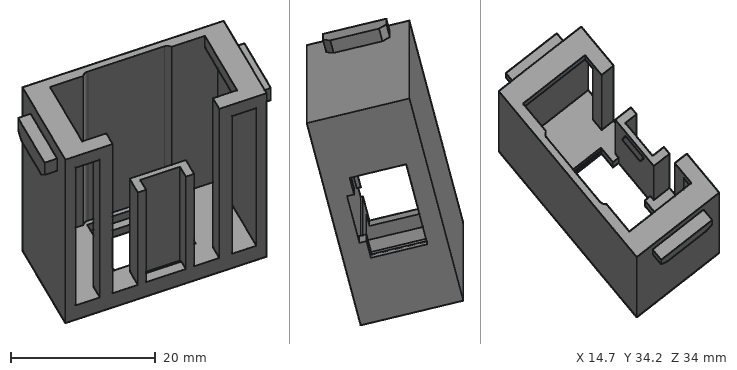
import cadquery as cq

depth = 14.65
width = 30.4
height = 34.0

back_wall = 1.5
cavity_half_width = 11.7
lip_thickness = 2.15
lip_gap_half_width = 8.05
floor_top = 3.0
cavity_front = depth - lip_thickness

relief_depth = 0.5
relief_half_width = 6.8
relief_radius = 1.0

undercut_inner = 10.0
undercut_outer = 13.65
undercut_top = height - 2.4

ledge_top = 1.5
opening_back = 1.65
opening_half_width = 6.15
ledge_back = 2.8
ledge_half_width = 6.0
opening_front = 10.85
notch_half_width = 3.5

tab_back = 11.85
tab_half_width = 4.25
tab_top = 22.2
tab_pocket_back = 12.65
tab_pocket_half_width = 3.0
tab_pocket_floor = floor_top
pocket_ramp_width = 0.5
pocket_ramp_drop = 0.28
catch_reach = 0.6
catch_height = catch_reach
catch_half_width = 2.0
catch_top = 20.0

lug_reach = 1.9
lug_back = 2.8
lug_front = 11.85
lug_top = height - 2.65
lug_height = 3.6
lug_chamfer = 1.05


def box(x_range, y_range, z_range):
    """Box between the given limits on each axis."""
    x0, x1 = x_range
    y0, y1 = y_range
    z0, z1 = z_range
    return cq.Workplane("XY").box(x1 - x0, y1 - y0, z1 - z0, centered=False).translate((x0, y0, z0))


def centered_box(x_range, half_width, z_range):
    """Box that is symmetric about the XZ plane."""
    return box(x_range, (-half_width, half_width), z_range)


def extrude_across(points, half_width):
    """XZ outline extruded symmetrically along Y."""
    return cq.Workplane("XZ").polyline(points).close().extrude(half_width, both=True)


def make_cavity():
    above_floor = (floor_top, height)
    cavity = centered_box((back_wall, cavity_front), cavity_half_width, above_floor)
    lip_gap = centered_box((cavity_front, depth), lip_gap_half_width, above_floor)
    relief = centered_box((back_wall - relief_depth, cavity_front), relief_half_width, above_floor)
    relief = relief.edges("|Z and <X").fillet(relief_radius)
    return cavity.union(lip_gap).union(relief)


def make_undercut(side):
    limits = sorted((side * undercut_inner, side * undercut_outer))
    return box((back_wall, depth), limits, (floor_top, undercut_top))


def make_floor_opening():
    upper = centered_box((opening_back, opening_front), opening_half_width, (ledge_top, floor_top))
    lower = centered_box((ledge_back, opening_front), ledge_half_width, (0, ledge_top))
    notch = centered_box((opening_front, tab_back), notch_half_width, (0, floor_top))
    return upper.union(lower).union(notch)


def make_tab():
    tab = centered_box((tab_back, depth), tab_half_width, (0, tab_top))
    catch = extrude_across(
        [
            (tab_back, catch_top),
            (tab_back - catch_reach, catch_top - catch_height),
            (tab_back, catch_top - catch_height),
        ],
        catch_half_width,
    )
    return tab.union(catch)


def make_tab_pocket():
    """Pocket open to the front, with a shallow ramp at the back of its floor."""
    return extrude_across(
        [
            (tab_pocket_back, tab_top),
            (tab_pocket_back, tab_pocket_floor - pocket_ramp_drop),
            (tab_pocket_back + pocket_ramp_width, tab_pocket_floor),
            (depth, tab_pocket_floor),
            (depth, tab_top),
        ],
        tab_pocket_half_width,
    )


def make_lug(side):
    limits = sorted((side * width / 2, side * (width / 2 + lug_reach)))
    lug = box((lug_back, lug_front), limits, (lug_top - lug_height, lug_top))
    return lug.edges("|Y and <Z").chamfer(lug_chamfer)


result = centered_box((0, depth), width / 2, (0, height))
result = result.cut(make_cavity()).cut(make_floor_opening())
for side in (-1, 1):
    result = result.cut(make_undercut(side)).union(make_lug(side))
result = result.union(make_tab()).cut(make_tab_pocket())